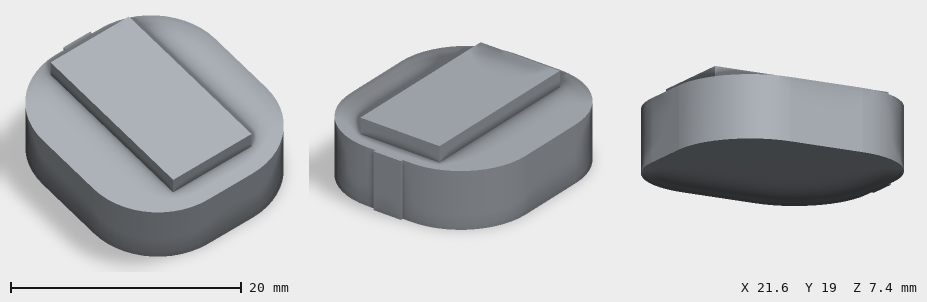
import cadquery as cq

total_length = 21.6
width = 19.0
total_height = 7.4

tab_depth = 0.25
tab_width = 2.98
body_length = total_length - tab_depth
corner_radius = 7.06

pad_length = 17.25
pad_width = 8.62
pad_height = 1.62
pad_inset = 1.55
body_height = total_height - pad_height


def make_body():
    block = cq.Workplane("XY").box(body_length, width, body_height, centered=(True, True, False))
    return block.edges("|Z").fillet(corner_radius)


def make_tab():
    tab_length = body_length / 2 + tab_depth
    tab = cq.Workplane("XY").box(tab_length, tab_width, body_height, centered=(False, True, False))
    return tab.translate((-tab_length, 0, 0))


def make_pad():
    pad = cq.Workplane("XY").box(pad_length, pad_width, total_height, centered=(False, True, False))
    return pad.translate((pad_inset - body_length / 2, 0, 0))


result = make_body().union(make_tab()).union(make_pad()).clean()